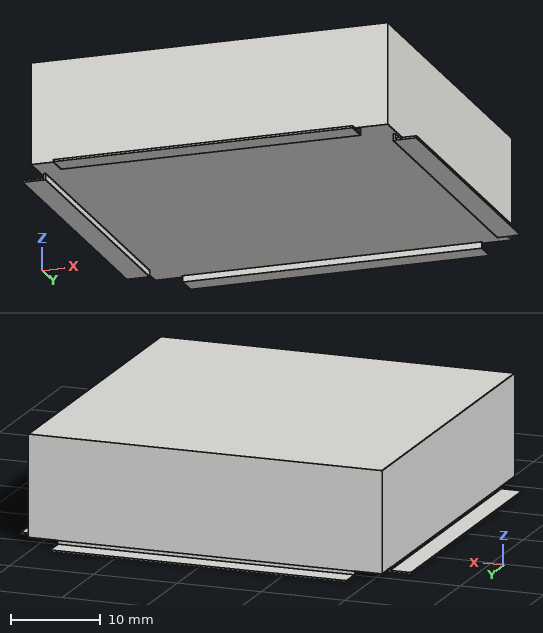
import cadquery as cq

overall_width = 46.6
overall_height = 12.75

body_width = 42.2
body_height = 12.0
standoff = overall_height - body_height

lead_length = 35.4
lead_thickness = 0.25
lead_leg_inset = 0.33
lead_count = 4

body = cq.Workplane("XY").box(
    body_width, body_width, body_height, centered=(True, True, False)
).translate((0, 0, standoff))


def make_lead():
    """L-section strip on the +X side: upright leg under the body, foot pointing outward."""
    foot_end = overall_width / 2
    leg_outer = body_width / 2 - lead_leg_inset
    leg_inner = leg_outer - lead_thickness
    return (
        cq.Workplane("XZ")
        .moveTo(leg_inner, 0)
        .lineTo(foot_end, 0)
        .lineTo(foot_end, lead_thickness)
        .lineTo(leg_outer, lead_thickness)
        .lineTo(leg_outer, standoff)
        .lineTo(leg_inner, standoff)
        .close()
        .extrude(lead_length / 2, both=True)
    )


result = body
for side in range(lead_count):
    side_angle = side * 360 / lead_count
    result = result.union(make_lead().rotate((0, 0, 0), (0, 0, 1), side_angle))